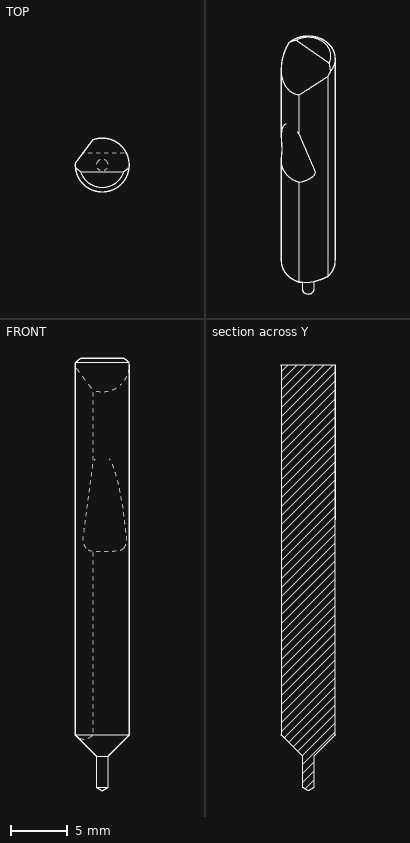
import cadquery as cq
import math

shank_diameter = 4.76
total_length = 38.1
pin_diameter = 1.02
tip_height = 0.3
pin_top = 3.05
neck_half_angle = 45.0
top_chamfer = 0.4

flat_distance = 2.0
flat_normal_angle = 143.0

slant_top_y = -0.6
slant_angle = 45.0

notch_floor = 21.1
notch_top = 29.7
notch_slope = 10.0
notch_radius = 1.1

shank_radius = shank_diameter / 2
pin_radius = pin_diameter / 2
neck_top = pin_top + (shank_radius - pin_radius) / math.tan(math.radians(neck_half_angle))
cutter_size = 2 * shank_diameter


def turned_body():
    """Shank, top chamfer, neck cone, pin and tip as one revolved profile."""
    return (
        cq.Workplane("XZ")
        .moveTo(0, 0)
        .lineTo(-pin_radius, tip_height)
        .lineTo(-pin_radius, pin_top)
        .lineTo(-shank_radius, neck_top)
        .lineTo(-shank_radius, total_length - top_chamfer)
        .lineTo(-shank_radius + top_chamfer, total_length)
        .lineTo(0, total_length)
        .close()
        .revolve(360, (0, 0, 0), (0, 1, 0))
    )


def flat_cutter():
    """Full-length block whose inner face is the locating flat."""
    return (
        cq.Workplane("XY")
        .box(cutter_size, cutter_size, total_length, centered=(False, True, False))
        .translate((flat_distance, 0, 0))
        .rotate((0, 0, 0), (0, 0, 1), flat_normal_angle)
    )


def slant_cutter():
    """Wedge above the slanted face, on the +Y side of the top."""
    outer_y = cutter_size
    drop = (outer_y - slant_top_y) * math.tan(math.radians(slant_angle))
    return (
        cq.Workplane("YZ")
        .moveTo(slant_top_y, total_length)
        .lineTo(outer_y, total_length)
        .lineTo(outer_y, total_length - drop)
        .close()
        .extrude(shank_diameter, both=True)
    )


def notch_cutter():
    """Notch with a gently sloping wall that rounds into a level lower wall."""
    slope = math.tan(math.radians(notch_slope))
    corner_y = shank_radius - (notch_top - notch_floor) * slope
    outer_y = cutter_size
    outer_z = notch_top + (outer_y - shank_radius) / slope
    return (
        cq.Workplane("YZ")
        .moveTo(corner_y, notch_floor)
        .lineTo(outer_y, notch_floor)
        .lineTo(outer_y, outer_z)
        .close()
        .extrude(shank_diameter, both=True)
        .edges(cq.selectors.NearestToPointSelector((0, corner_y, notch_floor)))
        .fillet(notch_radius)
    )


result = (
    turned_body()
    .cut(flat_cutter())
    .cut(slant_cutter())
    .cut(notch_cutter())
)